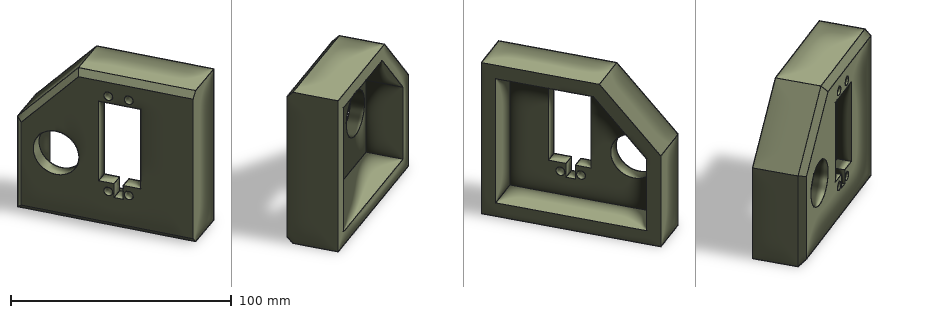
import cadquery as cq

width = 87.0
depth = 25.0
height = 78.0
corner_width = 29.75
corner_height = 31.15
edge_chamfer = 3.0

plate_thickness = 7.0
wall_thickness = 7.0

bore_diameter = 22.3
bore_x = 20.0
bore_z = 33.5

window_width = 20.5
window_height = 41.1
window_x = 51.1
window_z = 43.9
slot_width = 4.5
slot_x = 50.55
slot_bottom = 16.3

screw_diameter = 4.3
screw_pitch_x = 10.0
screw_pitch_z = 49.15
screw_center_z = 43.4


def make_profile():
    """Rectangle with its upper left corner cut off, on the XZ plane."""
    return cq.Workplane("XZ").polyline([
        (0, 0),
        (width, 0),
        (width, height),
        (corner_width, height),
        (0, height - corner_height),
    ]).close()


def make_block():
    """Solid block, chamfered around the front face except on its +X edge."""
    block = make_profile().extrude(-depth)
    front_edges = block.faces("<Y").edges("not(>X)")
    return front_edges.chamfer(edge_chamfer)


def make_cavity():
    """Space enclosed by the walls, from the front plate out through the back."""
    cavity = make_profile().offset2D(-wall_thickness).extrude(plate_thickness - depth)
    return cavity.translate((0, plate_thickness, 0))


def box_opening(center_x, opening_width, bottom, top):
    """Rectangular cutter through the front plate."""
    return (
        cq.Workplane("XZ")
        .center(center_x, (bottom + top) / 2)
        .rect(opening_width, top - bottom)
        .extrude(-plate_thickness)
    )


def round_openings(points, diameter):
    """Round cutters through the front plate."""
    return cq.Workplane("XZ").pushPoints(points).circle(diameter / 2).extrude(-plate_thickness)


window_bottom = window_z - window_height / 2
window_top = window_z + window_height / 2
screw_points = [
    (slot_x + side * screw_pitch_x / 2, screw_center_z + level * screw_pitch_z / 2)
    for side in (-1, 1)
    for level in (-1, 1)
]

result = (
    make_block()
    .cut(make_cavity())
    .cut(round_openings([(bore_x, bore_z)], bore_diameter))
    .cut(box_opening(window_x, window_width, window_bottom, window_top))
    .cut(box_opening(slot_x, slot_width, slot_bottom, window_bottom))
    .cut(round_openings(screw_points, screw_diameter))
)